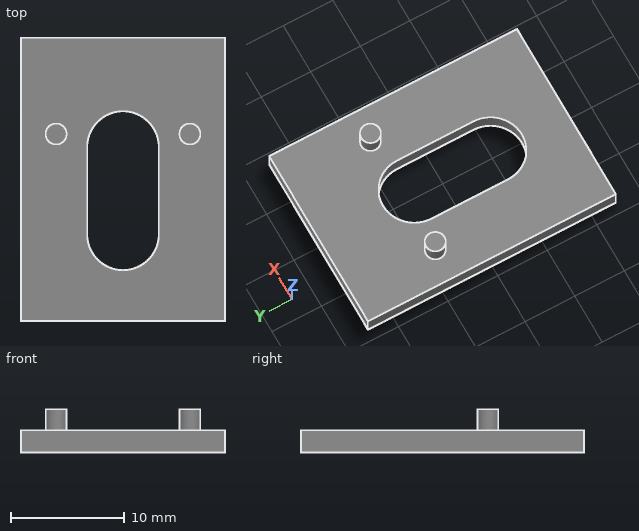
import cadquery as cq

plate_width = 18.0
plate_length = 25.0
plate_thickness = 2.0

slot_width = 6.3
slot_length = 14.0
slot_center_y = -1.0

pin_diameter = 1.85
pin_height = 1.85
pin_spacing = 11.8
pin_center_y = 4.0

plate = cq.Workplane("XY").box(
    plate_width, plate_length, plate_thickness, centered=(True, True, False)
)

slot = (
    cq.Workplane("XY")
    .center(0, slot_center_y)
    .slot2D(slot_length, slot_width, angle=90)
    .extrude(plate_thickness)
)

pins = (
    cq.Workplane("XY")
    .pushPoints([(side * pin_spacing / 2, pin_center_y) for side in (-1, 1)])
    .circle(pin_diameter / 2)
    .extrude(plate_thickness + pin_height)
)

result = plate.cut(slot).union(pins)